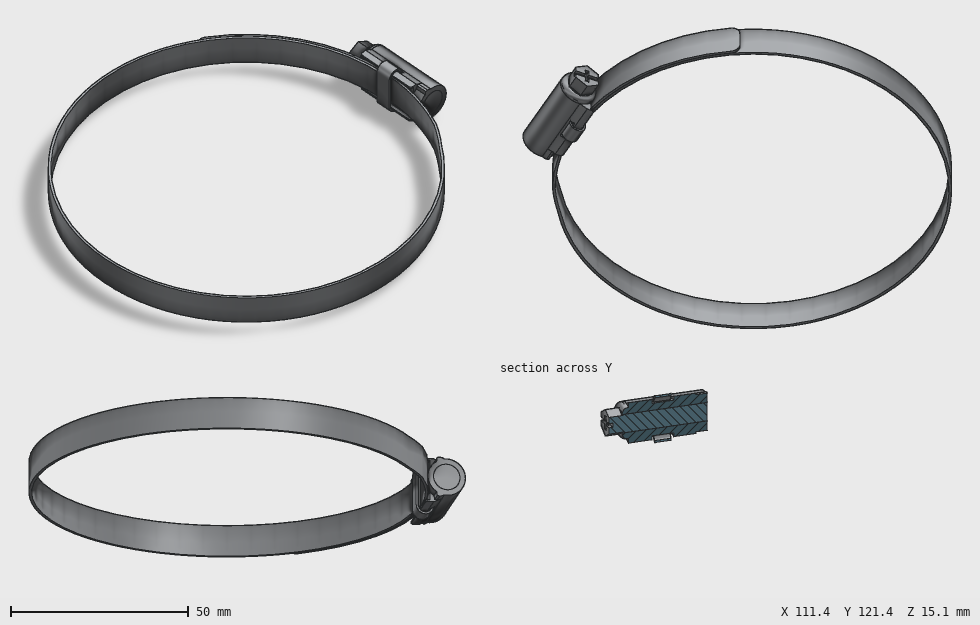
import cadquery as cq
import math


band_width = 9.1
band_radius = 55.7
band_thickness = 0.75
layer_gap = 0.05

inner_end_angle = 90
step_low_angle = 54.6
step_high_angle = 64.4
tail_end_angle = 149.8
tail_corner_radius = 2.5

axis_y = 60.3
head_flats = 7.0
head_start_x = -16.4
head_end_x = -12.1
slot_width = 1.1
slot_depth = 1.2
cross_length = 4.1

tube_radius = 5.4
rim_radius = 5.35
dome_start_x = -12.4
dome_middle = (-12.05, 4.7)
rim_start_x = -11.1
tube_start_x = -10.4
housing_end_x = 13.4
lip_end_x = 9.9
web_top_y = 59.75
web_low_y = 56.2
lip_top_y = 57.3
lip_bottom_y = 55.1
lip_z = 6.4
lip_thickness = 0.55
lip_corner = 0.6
web_foot_z = 5.3
end_web_z = 5.8
end_web_edge_z = 5.65
end_web_crest_y = 58.3
end_web_half_width = 0.7
web_root_top_z = 5.0
web_root_low_z = 3.0
end_web_root_z = 4.0

clip_width = 4.95
clip_thickness = 0.6
clip_bottom_y = 53.9
clip_top_z = 7.55
clip_curl_z = 5.0
hook_slot_length = 6.5
hook_slot_low_y = 57.75

outer_layer_radius = band_radius + layer_gap + band_thickness
screw_radius = axis_y - outer_layer_radius
head_corner_radius = head_flats / math.sqrt(3)
clip_curl_radius = clip_top_z - clip_curl_z
clip_curl_y = clip_bottom_y + clip_curl_radius
clip_hook_y = clip_curl_y + clip_curl_radius


def polar(radius, angle):
    """Point in the XY plane at an angle in degrees."""
    return (radius * math.cos(math.radians(angle)), radius * math.sin(math.radians(angle)))


def strip(start_radius, end_radius, start_angle, end_angle):
    """Stretch of band, given its outer radius at each end."""
    middle_radius = (start_radius + end_radius) / 2
    middle_angle = (start_angle + end_angle) / 2
    return (
        cq.Workplane("XY")
        .moveTo(*polar(start_radius, start_angle))
        .threePointArc(polar(middle_radius, middle_angle), polar(end_radius, end_angle))
        .lineTo(*polar(end_radius - band_thickness, end_angle))
        .threePointArc(
            polar(middle_radius - band_thickness, middle_angle),
            polar(start_radius - band_thickness, start_angle),
        )
        .close()
        .extrude(band_width / 2, both=True)
    )


def along_x(start_x):
    """Plane across the screw axis: local x is Y, local y is Z, extruding toward +X."""
    return cq.Workplane("YZ", origin=(start_x, 0, 0))


def make_band():
    """Strip once round the hose, stepping out to pass over its own inner end."""
    inner_layer = strip(band_radius, band_radius, inner_end_angle, step_low_angle + 360)
    step = strip(band_radius, outer_layer_radius, step_low_angle, step_high_angle)
    outer_layer = strip(outer_layer_radius, outer_layer_radius, step_high_angle, tail_end_angle)
    outer_layer = outer_layer.faces("<X").edges("#Z").fillet(tail_corner_radius)
    return inner_layer.union(step).union(outer_layer)


def make_screw():
    """Screw with a hexagon head, a long slot and a short cross slot."""
    head_face = along_x(head_start_x).center(axis_y, 0)
    head = (
        head_face
        .transformed(rotate=(0, 0, 90))
        .polygon(6, 2 * head_corner_radius)
        .extrude(head_end_x - head_start_x)
    )
    shank_length = housing_end_x - head_end_x
    shank = along_x(head_end_x).center(axis_y, 0).circle(screw_radius).extrude(shank_length)
    long_slot = head_face.rect(2 * head_flats, slot_width).extrude(slot_depth)
    short_slot = head_face.rect(slot_width, cross_length).extrude(slot_depth)
    return head.union(shank).cut(long_slot).cut(short_slot)


def make_web():
    """Side web on +Z, ending in a flat lip that stands clear of the band."""
    web = (
        along_x(tube_start_x)
        .polyline([
            (web_top_y, web_root_top_z),
            (web_top_y, web_foot_z),
            (lip_top_y, lip_z),
            (lip_bottom_y, lip_z),
            (lip_bottom_y, lip_z - lip_thickness),
            (web_low_y, lip_z - lip_thickness),
            (web_low_y, web_root_low_z),
        ])
        .close()
        .extrude(lip_end_x - tube_start_x)
    )
    return web.faces("<Y").edges("|Z").chamfer(lip_corner)


def make_end_web():
    """Shorter continuation of the +Z web over the plain end of the tube."""
    return (
        along_x(lip_end_x)
        .polyline([
            (web_top_y, web_root_top_z),
            (web_top_y, web_foot_z),
            (end_web_crest_y + end_web_half_width, end_web_edge_z),
            (end_web_crest_y, end_web_z),
            (end_web_crest_y - end_web_half_width, end_web_edge_z),
            (lip_top_y, end_web_root_z),
        ])
        .close()
        .extrude(housing_end_x - lip_end_x)
    )


def make_tube():
    """Round body over the screw with a domed end behind the screw head."""
    return (
        cq.Workplane("XY")
        .moveTo(dome_start_x, 0)
        .lineTo(dome_start_x, head_flats / 2)
        .threePointArc(dome_middle, (rim_start_x, rim_radius))
        .lineTo(tube_start_x, rim_radius)
        .lineTo(tube_start_x, tube_radius)
        .lineTo(housing_end_x, tube_radius)
        .lineTo(housing_end_x, 0)
        .close()
        .revolve(360, (0, 0, 0), (1, 0, 0))
        .translate((0, axis_y, 0))
    )


def make_housing(screw):
    """Tube with a web on each side, hollowed for the screw and open underneath for the band."""
    housing = make_tube()
    for web in (make_web(), make_end_web()):
        housing = housing.union(web).union(web.mirror("XY"))

    hook_slot = (
        along_x(-hook_slot_length / 2)
        .moveTo(hook_slot_low_y, clip_curl_z)
        .rect(clip_hook_y - hook_slot_low_y, clip_curl_radius, centered=False)
        .extrude(hook_slot_length)
    )
    housing = housing.cut(hook_slot).cut(hook_slot.mirror("XY"))

    band_opening = cq.Workplane("XY").circle(outer_layer_radius).extrude(band_width / 2, both=True)
    return housing.cut(band_opening).cut(screw)


def make_clip():
    """Strap under the band whose two ends curl up and hook into the housing."""
    inner = clip_curl_radius - clip_thickness
    top_z = clip_curl_z + inner
    return (
        along_x(-clip_width / 2)
        .moveTo(clip_bottom_y, -clip_curl_z)
        .lineTo(clip_bottom_y, clip_curl_z)
        .threePointArc((clip_curl_y, clip_top_z), (clip_hook_y, clip_curl_z))
        .lineTo(clip_curl_y + inner, clip_curl_z)
        .threePointArc((clip_curl_y, top_z), (clip_curl_y - inner, clip_curl_z))
        .lineTo(clip_curl_y - inner, -clip_curl_z)
        .threePointArc((clip_curl_y, -top_z), (clip_curl_y + inner, -clip_curl_z))
        .lineTo(clip_hook_y, -clip_curl_z)
        .threePointArc((clip_curl_y, -clip_top_z), (clip_bottom_y, -clip_curl_z))
        .close()
        .extrude(clip_width)
    )


band = make_band()
screw = make_screw()
housing = make_housing(screw)
clip = make_clip()

result = cq.Compound.makeCompound([band.val(), screw.val(), housing.val(), clip.val()])